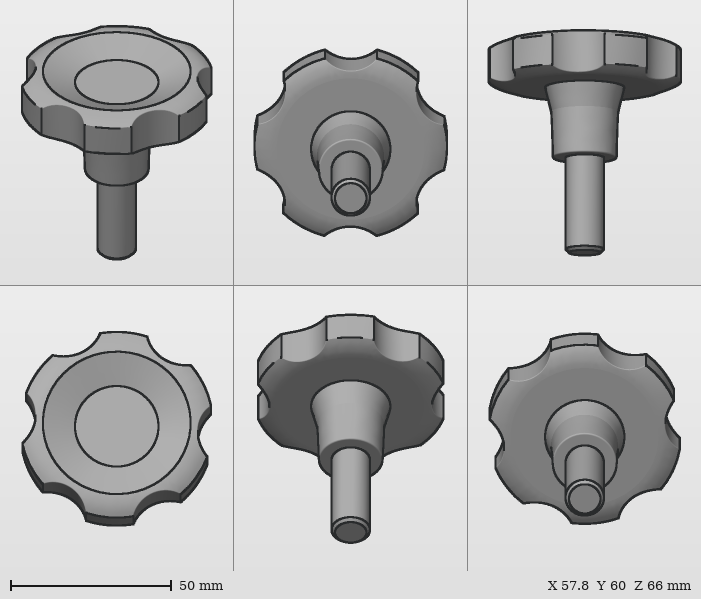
import cadquery as cq
import math

stud_length = 30.0
hub_height = 36.0
head_thickness = 13.8
hub_taper_height = 14.4
top_z = stud_length + hub_height
head_bottom_z = top_z - head_thickness
hub_break_z = stud_length + hub_taper_height

head_radius = 30.0
crown_drop = 2.1
flat_radius = 23.0
dish_floor_radius = 13.0
dish_depth = 4.0

scallop_count = 6
scallop_floor_radius = 25.35
scallop_half_angle = math.radians(15.74)
rim_edge_round = 0.3

hub_top_radius = 12.35
hub_break_radius = 10.45
hub_end_radius = 9.95
hub_end_round = 0.5
stud_radius = 6.0
stud_chamfer = 1.1


def make_head():
    """Revolved disc with crowned top and bottom and a conical dish in the top."""
    crown_run = head_radius - flat_radius
    crown_radius = (crown_run**2 + crown_drop**2) / (2 * crown_drop)
    mid_run = crown_run / 2
    mid_drop = crown_radius - math.sqrt(crown_radius**2 - mid_run**2)
    mid_radius = flat_radius + mid_run
    profile = (
        cq.Workplane("XZ")
        .moveTo(0, head_bottom_z)
        .lineTo(flat_radius, head_bottom_z)
        .threePointArc((mid_radius, head_bottom_z + mid_drop), (head_radius, head_bottom_z + crown_drop))
        .lineTo(head_radius, top_z - crown_drop)
        .threePointArc((mid_radius, top_z - mid_drop), (flat_radius, top_z))
        .lineTo(dish_floor_radius, top_z - dish_depth)
        .lineTo(0, top_z - dish_depth)
        .close()
    )
    return profile.revolve(360, (0, 0, 0), (0, 1, 0))


def lies_on_outline(edge):
    """True for edges running along the rim or a scallop, beyond the dish and the flats."""
    middle = edge.positionAt(0.5)
    return math.hypot(middle.x, middle.y) > scallop_floor_radius - rim_edge_round


def add_scallops(head):
    """Cut the finger scallops and round the upper and lower outline edges."""
    half_width = head_radius * math.sin(scallop_half_angle)
    depth = head_radius * math.cos(scallop_half_angle) - scallop_floor_radius
    scallop_radius = (half_width**2 + depth**2) / (2 * depth)
    cutters = (
        cq.Workplane("XY")
        .workplane(offset=head_bottom_z)
        .polarArray(scallop_floor_radius + scallop_radius, 0, 360, scallop_count)
        .circle(scallop_radius)
        .extrude(head_thickness)
    )
    scalloped = head.cut(cutters)
    outline_edges = scalloped.edges("not |Z").filter(lies_on_outline)
    return scalloped.newObject(outline_edges.vals()).fillet(rim_edge_round)


def make_hub():
    """Two-stage tapered hub with a rounded lower edge."""
    profile = (
        cq.Workplane("XZ")
        .moveTo(0, stud_length)
        .lineTo(hub_end_radius, stud_length)
        .lineTo(hub_break_radius, hub_break_z)
        .lineTo(hub_top_radius, head_bottom_z)
        .lineTo(0, head_bottom_z)
        .close()
    )
    hub = profile.revolve(360, (0, 0, 0), (0, 1, 0))
    return hub.faces("<Z").edges().fillet(hub_end_round)


def make_stud():
    """Plain stud with a chamfered tip."""
    stud = cq.Workplane("XY").circle(stud_radius).extrude(stud_length)
    return stud.faces("<Z").edges().chamfer(stud_chamfer)


result = add_scallops(make_head()).union(make_hub()).union(make_stud())